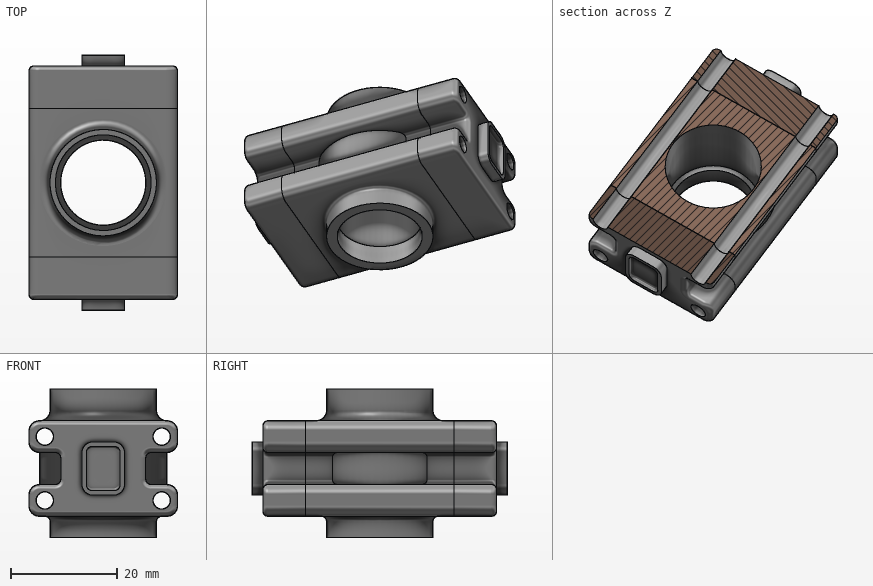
import cadquery as cq
import math


overall_length = 48.0
housing_length = 28.0

width = 28.0
height = 18.0
flange_thickness = 6.0
web_width = 16.0
flange_radius = 2.0
groove_radius = 1.0
groove_height = height - 2 * flange_thickness

bolt_hole_diameter = 3.2
bolt_spacing_x = 22.0
bolt_spacing_z = height - flange_thickness

tube_diameter = 20.0
upper_bore_diameter = 18.0
lower_bore_diameter = 16.0
upper_tube_height = 6.0
lower_tube_height = 4.0
barrel_diameter = width - 2 * flange_radius
upper_flare_radius = (barrel_diameter - tube_diameter) / 2
lower_flare_radius = 1.0
tube_top = height / 2 + upper_tube_height
tube_bottom = -height / 2 - lower_tube_height
bore_step = -height / 2

boss_height = 2.0
boss_width = 8.0
boss_depth_z = 10.0
boss_corner_radius = 2.0
boss_rim = 0.8
recess_depth = 1.0
recess_floor_radius = 0.5
cap_edge_radius = 1.0
cap_length = (overall_length - housing_length) / 2 - boss_height


def grooved_bar(y_start, length):
    """Bar along +Y with one rounded groove in each X side."""
    bar = (
        cq.Workplane("XZ", origin=(0, y_start, 0))
        .rect(width, height)
        .extrude(-length)
    )
    groove_depth = (width - web_width) / 2
    for side in (-1, 1):
        groove_center = (side * (width - groove_depth) / 2, y_start + length / 2, 0)
        groove = cq.Workplane("XY", origin=groove_center).box(groove_depth, length, groove_height)
        groove_floor = "<X" if side > 0 else ">X"
        bar = bar.cut(groove.faces(groove_floor).edges("|Y").fillet(groove_radius))
    return bar.faces("<X or >X").edges("|Y").fillet(flange_radius)


def bolt_holes(y_start, length):
    return (
        cq.Workplane("XZ", origin=(0, y_start, 0))
        .rect(bolt_spacing_x, bolt_spacing_z, forConstruction=True)
        .vertices()
        .circle(bolt_hole_diameter / 2)
        .extrude(-length)
    )


def flared_tube():
    """Solid tube body from top to bottom, flaring where it meets the block's flat faces."""
    radius = tube_diameter / 2
    face = height / 2
    mid_arc = 1 - math.sqrt(0.5)
    upper_foot = radius + upper_flare_radius
    lower_foot = radius + lower_flare_radius
    upper_mid = upper_flare_radius * mid_arc
    lower_mid = lower_flare_radius * mid_arc
    return (
        cq.Workplane("XZ")
        .moveTo(0, tube_top)
        .lineTo(radius, tube_top)
        .lineTo(radius, face + upper_flare_radius)
        .threePointArc((radius + upper_mid, face + upper_mid), (upper_foot, face))
        .lineTo(lower_foot, -face)
        .threePointArc((radius + lower_mid, -face - lower_mid), (radius, -face - lower_flare_radius))
        .lineTo(radius, tube_bottom)
        .lineTo(0, tube_bottom)
        .close()
        .revolve(360, (0, 0, 0), (0, 1, 0))
    )


def vertical_cylinder(diameter, bottom, top):
    return cq.Workplane("XY", origin=(0, 0, bottom)).circle(diameter / 2).extrude(top - bottom)


def make_housing():
    """Grooved block with the tube, its thick barrel across the grooves and the stepped bore."""
    start_y = -housing_length / 2
    block = grooved_bar(start_y, housing_length)
    holes = bolt_holes(start_y, housing_length)
    barrel = vertical_cylinder(barrel_diameter, -groove_height / 2, groove_height / 2)
    upper_bore = vertical_cylinder(upper_bore_diameter, bore_step, tube_top)
    lower_bore = vertical_cylinder(lower_bore_diameter, tube_bottom, bore_step)
    body = block.union(barrel).union(flared_tube())
    return body.cut(upper_bore).cut(lower_bore).cut(holes)


def rounded_block(size_x, size_z, corner_radius, y_start, length):
    return (
        cq.Workplane("XZ", origin=(0, y_start, 0))
        .rect(size_x, size_z)
        .extrude(-length)
        .edges("|Y")
        .fillet(corner_radius)
    )


def make_front_cap():
    """Cap on the -Y end: rounded outer edge and a boss with a shallow recess."""
    outer_y = -housing_length / 2 - cap_length
    boss_y = outer_y - boss_height
    cap = grooved_bar(outer_y, cap_length)
    cap = cap.faces("<Y").edges().fillet(cap_edge_radius)
    boss = rounded_block(boss_width, boss_depth_z, boss_corner_radius, boss_y, boss_height)
    recess = rounded_block(
        boss_width - 2 * boss_rim,
        boss_depth_z - 2 * boss_rim,
        boss_corner_radius - boss_rim,
        boss_y,
        recess_depth,
    )
    recess = recess.faces(">Y").edges().fillet(recess_floor_radius)
    return cap.union(boss).cut(recess).cut(bolt_holes(outer_y, cap_length))


housing = make_housing()

end_caps = []
for angle in (0, 180):
    end_cap = make_front_cap().rotate((0, 0, 0), (0, 0, 1), angle)
    end_caps.append(end_cap.solids().val())

result = cq.Compound.makeCompound([housing.solids().val(), *end_caps])